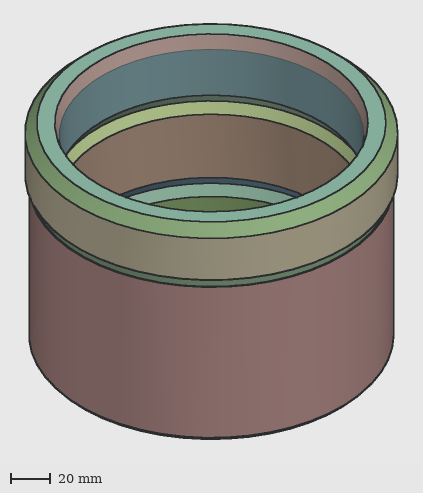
import cadquery as cq

height = 132.0
collar_radius = 188.5 / 2
body_radius = 184.5 / 2
neck_radius = 183.5 / 2
bore_radius = 154.2 / 2

collar_bottom = 99.7
neck_bottom = 94.6
collar_top_chamfer = 6.0
collar_bottom_chamfer = 0.8
body_chamfer_width = 1.9
body_chamfer_height = 2.3

lead_in_width = 2.0
lead_in_height = 8.0
groove_tops = (95.8, 45.2)
groove_height = 11.7
groove_depth = 3.4
groove_radius = bore_radius + groove_depth


def make_outside():
    """Solid of revolution: body, relieved neck and chamfered collar."""
    return (
        cq.Workplane("XZ")
        .moveTo(0, 0)
        .lineTo(body_radius - body_chamfer_width, 0)
        .lineTo(body_radius, body_chamfer_height)
        .lineTo(body_radius, neck_bottom)
        .lineTo(neck_radius, neck_bottom)
        .lineTo(neck_radius, collar_bottom)
        .lineTo(collar_radius - collar_bottom_chamfer, collar_bottom)
        .lineTo(collar_radius, collar_bottom + collar_bottom_chamfer)
        .lineTo(collar_radius, height - collar_top_chamfer)
        .lineTo(collar_radius - collar_top_chamfer, height)
        .lineTo(0, height)
        .close()
        .revolve(360, (0, 0, 0), (0, 1, 0))
    )


def make_bore():
    """Through bore with a tapered lead-in at the top."""
    return (
        cq.Workplane("XZ")
        .lineTo(bore_radius, 0)
        .lineTo(bore_radius, height - lead_in_height)
        .lineTo(bore_radius + lead_in_width, height)
        .lineTo(0, height)
        .close()
        .revolve(360, (0, 0, 0), (0, 1, 0))
    )


def make_groove(top):
    """V-shaped ring groove whose apex lies halfway down its height."""
    return (
        cq.Workplane("XZ")
        .moveTo(0, top)
        .lineTo(bore_radius, top)
        .lineTo(groove_radius, top - groove_height / 2)
        .lineTo(bore_radius, top - groove_height)
        .lineTo(0, top - groove_height)
        .close()
        .revolve(360, (0, 0, 0), (0, 1, 0))
    )


result = make_outside().cut(make_bore())
for groove_top in groove_tops:
    result = result.cut(make_groove(groove_top))